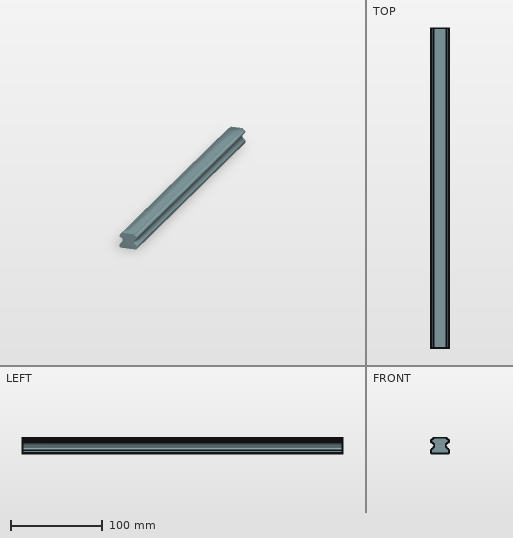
import cadquery as cq

length = 350.0
width = 20.0
height = 17.5
half_width = width / 2

foot_chamfer = 0.7
foot_height = 4.0

waist_width = 13.0
waist_half = waist_width / 2
waist_bottom = foot_height + (half_width - waist_half)
waist_fillet = 1.0

top_width = 14.0
shoulder_depth = 2.28
lip_height = 2.8
lip_chamfer_width = 0.5
lip_chamfer_height = 0.7
lip_half_height = lip_height / 2
lip_middle = height - shoulder_depth - lip_half_height
lip_flat_offset = lip_half_height - lip_chamfer_height

head_width = 15.0
groove_rise = 1.22
groove_depth = 0.1
groove_inner_half = head_width / 2
groove_outer_half = half_width - lip_chamfer_width
groove_middle_half = (groove_inner_half + groove_outer_half) / 2
groove_inner_offset = lip_half_height + groove_rise
groove_middle_offset = lip_half_height + groove_rise / 2 - groove_depth

waist_top = lip_middle - groove_inner_offset - (groove_inner_half - waist_half)

section = (
    cq.Workplane("XZ")
    .moveTo(0, 0)
    .lineTo(half_width - foot_chamfer, 0)
    .lineTo(half_width, foot_chamfer)
    .lineTo(half_width, foot_height)
    .lineTo(waist_half, waist_bottom)
    .lineTo(waist_half, waist_top)
    .lineTo(groove_inner_half, lip_middle - groove_inner_offset)
    .threePointArc(
        (groove_middle_half, lip_middle - groove_middle_offset),
        (groove_outer_half, lip_middle - lip_half_height),
    )
    .lineTo(half_width, lip_middle - lip_flat_offset)
    .lineTo(half_width, lip_middle + lip_flat_offset)
    .lineTo(groove_outer_half, lip_middle + lip_half_height)
    .threePointArc(
        (groove_middle_half, lip_middle + groove_middle_offset),
        (groove_inner_half, lip_middle + groove_inner_offset),
    )
    .lineTo(top_width / 2, height)
    .lineTo(0, height)
    .mirrorY()
)

rail = section.extrude(length / 2, both=True)

selection_margin = 0.05
waist_reach = waist_half + selection_margin
waist_corners = cq.selectors.BoxSelector(
    (-waist_reach, -length, foot_height),
    (waist_reach, length, lip_middle),
)
result = rail.edges("|Y").edges(waist_corners).fillet(waist_fillet)